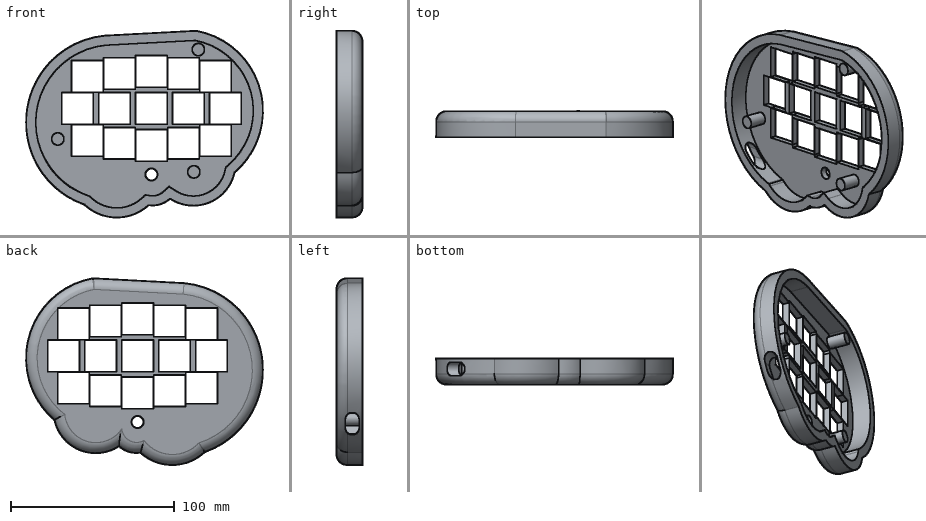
import cadquery as cq
import math

depth = 16.0
wall = 6.0
plate_thickness = 4.3
cavity_depth = depth - plate_thickness
back_fillet = 6.7

left_circle = (53.2, 58.2, 53.2)
right_circle = (95.0, 65.2, 49.6)
right_lobe = (102.1, 33.0, 25.8)
middle_lobe = (77.3, 23.1, 15.8)
left_lobe = (55.4, 28.6, 28.6)
clockwise_circles = [right_circle, right_lobe, middle_lobe, left_lobe, left_circle]
top_edge_start_x = 48.3
top_edge_end_x = 103.7

key_size = 19.1
key_center_x = 76.5
key_center_z = 66.7
middle_row_pitch = 22.5
outer_row_pitch = 19.5
outer_row_rise = (22.5, 21.3, 19.5)

pin_diameter = 7.5
pin_length = cavity_depth
pin_centers = [(105.2, 102.5), (19.4, 48.0), (102.4, 27.9)]
hole_diameter = 7.2
hole_center = (76.5, 26.3)
slot_width = 8.4
slot_height = 13.6
slot_center_y = 6.4
slot_center_z = 25.3
slot_reach = 36.2


def point_on(circle, angle):
    x, z, radius = circle
    return (x + radius * math.cos(angle), z + radius * math.sin(angle))


def point_at_top(circle, x):
    return (x, circle[1] + math.sqrt(circle[2] ** 2 - (x - circle[0]) ** 2))


def angle_to(circle, point):
    return math.atan2(point[1] - circle[1], point[0] - circle[0])


def outer_crossing(first, second):
    """Crossing of two neighbouring circles on the outer side of the clockwise outline."""
    dx = second[0] - first[0]
    dz = second[1] - first[1]
    distance = math.hypot(dx, dz)
    along = (distance**2 + first[2] ** 2 - second[2] ** 2) / (2 * distance)
    opening = math.acos(along / first[2])
    direction = math.atan2(dz, dx)
    return point_on(first, direction + opening)


def add_clockwise_arc(profile, circle, start_angle, end_angle):
    sweep = (start_angle - end_angle) % (2 * math.pi)
    return profile.threePointArc(point_on(circle, start_angle - sweep / 2), point_on(circle, end_angle))


def top_edge(inset):
    """Angles on the left and right circles at the ends of the top edge, all moved in by inset."""
    start = point_at_top(left_circle, top_edge_start_x)
    corner = point_at_top(right_circle, top_edge_end_x)
    normal = math.atan2(corner[1] - start[1], corner[0] - start[0]) + math.pi / 2

    def crossing_angle(circle, end):
        x, z, radius = circle
        distance = (end[0] - x) * math.cos(normal) + (end[1] - z) * math.sin(normal)
        return math.acos((distance - inset) / (radius - inset))

    left_angle = normal + crossing_angle(left_circle, start)
    right_angle = normal - crossing_angle(right_circle, corner)
    return left_angle, right_angle


def miter_corner(point, first_angle, second_angle, inset):
    """Meeting point of the two tangents at an outline notch after both move inward by inset."""
    bisector = (first_angle + second_angle) / 2
    reach = inset / math.cos((first_angle - second_angle) / 2)
    return (point[0] - reach * math.cos(bisector), point[1] - reach * math.sin(bisector))


def outline(inset=0):
    """Closed profile moved inward by inset; notches between arcs are extended to sharp miters."""
    arcs = [(x, z, radius - inset) for x, z, radius in clockwise_circles]
    top_left_angle, arc_angle = top_edge(inset)
    profile = cq.Workplane("XZ").moveTo(*point_on(arcs[-1], top_left_angle))
    profile = profile.lineTo(*point_on(arcs[0], arc_angle))
    for index, arc in enumerate(arcs[:-1]):
        notch = outer_crossing(clockwise_circles[index], clockwise_circles[index + 1])
        end_angle = angle_to(arc, notch)
        next_angle = angle_to(arcs[index + 1], notch)
        profile = add_clockwise_arc(profile, arc, arc_angle, end_angle)
        if inset > 0:
            profile = profile.lineTo(*miter_corner(notch, end_angle, next_angle, inset))
            profile = profile.lineTo(*point_on(arcs[index + 1], next_angle))
        arc_angle = next_angle
    return add_clockwise_arc(profile, arcs[-1], arc_angle, top_left_angle).close()


def shell():
    """Body with a rounded back edge, hollowed from the rim down to the plate."""
    body = outline().extrude(-depth).faces(">Y").edges().fillet(back_fillet)
    cavity = outline(wall).extrude(-cavity_depth)
    return body.cut(cavity)


def key_centers():
    centers = []
    for column in range(-2, 3):
        centers.append((key_center_x + column * middle_row_pitch, key_center_z))
        x = key_center_x + column * outer_row_pitch
        rise = outer_row_rise[abs(column)]
        centers.append((x, key_center_z + rise))
        centers.append((x, key_center_z - rise))
    return centers


def plate_openings():
    keys = cq.Workplane("XZ").pushPoints(key_centers()).rect(key_size, key_size).extrude(-depth)
    hole = cq.Workplane("XZ").center(*hole_center).circle(hole_diameter / 2).extrude(-depth)
    return keys.union(hole)


def pins():
    plate_face = cq.Workplane("XZ", origin=(0, cavity_depth, 0))
    return plate_face.pushPoints(pin_centers).circle(pin_diameter / 2).extrude(pin_length)


def side_slot():
    """Upright slot through the left wall."""
    plane = cq.Workplane("YZ").center(slot_center_y, slot_center_z)
    return plane.slot2D(slot_height, slot_width, 90).extrude(slot_reach)


result = shell().cut(plate_openings()).cut(side_slot()).union(pins())